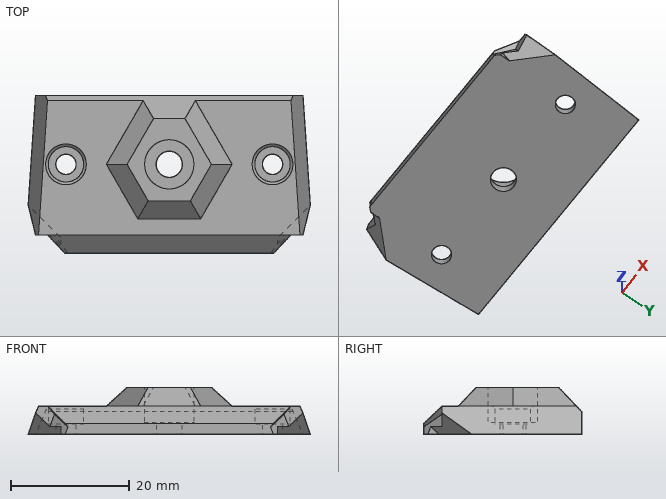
import cadquery as cq
import math

plate_height = 4.8
total_height = 8.0
back_y = 11.7
plate_front_y = -12.0
lip_front_y = -15.1
lip_edge_height = 1.85

overall_width = 47.85
widest_y = -6.9
wall_spread = 0.067
wall_lean = 0.44

boss_base_apothem = 9.23
boss_back_base_y = 10.8
boss_inset = 3.04

undercut_offset = overall_width / 2 - widest_y
undercut_rise = 0.95
undercut_inner_x = 18.35
lip_end_offset = 32.75
lip_end_lean = 0.38
lip_top_half_width = 20.6
lip_front_half_width = 17.65
lip_trim_lean = 0.83

main_hole_diameter = 4.4
main_bore_diameter = 8.35
main_bore_depth = 6.0
screw_x = 17.5
screw_hole_diameter = 3.4
screw_bore_diameter = 6.0
screw_bore_depth = 3.0
screw_rim_diameter = 6.9
screw_rim_depth = (screw_rim_diameter - screw_bore_diameter) / 2

tool_size = 200.0


def half_space(point, normal):
    """Everything on the side of the plane that the normal points to."""
    plane = cq.Plane(origin=point, normal=normal)
    return cq.Workplane(plane).rect(tool_size, tool_size).extrude(tool_size)


def with_mirror(body):
    """The body together with its mirror image about X = 0."""
    return body, body.mirror("YZ")


def cut_both_sides(body, tool):
    for side_tool in with_mirror(tool):
        body = body.cut(side_tool)
    return body


def extrude_profile(points):
    """Prism along X, over the full width, of an outline in Y and Z."""
    return cq.Workplane("YZ").polyline(points).close().extrude(overall_width, both=True)


def make_plate():
    boss_slope = (total_height - plate_height) / boss_inset
    back_edge_height = plate_height - (back_y - boss_back_base_y) * boss_slope
    plate = extrude_profile([
        (plate_front_y, 0),
        (back_y, 0),
        (back_y, back_edge_height),
        (boss_back_base_y, plate_height),
        (plate_front_y, plate_height),
    ])
    wall = half_space((-overall_width / 2, widest_y, 0), (-1, wall_spread, wall_lean))
    return cut_both_sides(plate, wall)


def make_lip():
    lip = extrude_profile([
        (plate_front_y, 0),
        (plate_front_y, plate_height),
        (lip_front_y, lip_edge_height),
        (lip_front_y, 0),
    ])
    lip_end = half_space((-lip_end_offset, 0, 0), (-1, -1, lip_end_lean))
    narrowing = lip_top_half_width - lip_front_half_width
    drop = plate_height - lip_edge_height
    length = plate_front_y - lip_front_y
    trim_shift = (narrowing - lip_trim_lean * drop) / length
    trim = half_space(
        (-lip_top_half_width, plate_front_y, plate_height),
        (-1, -trim_shift, -lip_trim_lean),
    )
    return cut_both_sides(lip, lip_end.intersect(trim))


def make_corner_undercut():
    below = half_space((-undercut_offset, 0, 0), (-1, -1, -1 / undercut_rise))
    outside = half_space((-undercut_inner_x, 0, 0), (-1, 0, 0))
    return below.intersect(outside)


def boss_outline(apothem, rear_y):
    corner_x = 2 * apothem / math.sqrt(3)
    front_x = corner_x - apothem / math.sqrt(3)
    rear_x = corner_x - rear_y / math.sqrt(3)
    return [
        (-corner_x, 0),
        (-front_x, -apothem),
        (front_x, -apothem),
        (corner_x, 0),
        (rear_x, rear_y),
        (-rear_x, rear_y),
    ]


def make_boss():
    base = boss_outline(boss_base_apothem, boss_back_base_y)
    top = boss_outline(boss_base_apothem - boss_inset, boss_back_base_y - boss_inset)
    return (
        cq.Workplane("XY").workplane(offset=plate_height)
        .polyline(base).close()
        .workplane(offset=total_height - plate_height)
        .polyline(top).close()
        .loft(ruled=True, combine=True)
    )


def make_stepped_hole(x, top, hole_diameter, bore_diameter, bore_depth):
    hole = cq.Workplane("XY").center(x, 0).circle(hole_diameter / 2).extrude(top)
    bore = (
        cq.Workplane("XY").workplane(offset=top - bore_depth)
        .center(x, 0).circle(bore_diameter / 2).extrude(bore_depth)
    )
    return hole.union(bore)


def make_screw_hole(x):
    hole = make_stepped_hole(
        x, plate_height, screw_hole_diameter, screw_bore_diameter, screw_bore_depth
    )
    rim = cq.Solid.makeCone(
        screw_bore_diameter / 2, screw_rim_diameter / 2, screw_rim_depth,
        pnt=cq.Vector(x, 0, plate_height - screw_rim_depth),
    )
    return hole.union(cq.Workplane(obj=rim))


body = make_plate().union(make_lip())
body = cut_both_sides(body, make_corner_undercut())
body = body.union(make_boss())
body = body.cut(make_stepped_hole(
    0, total_height, main_hole_diameter, main_bore_diameter, main_bore_depth
))
for hole_x in (-screw_x, screw_x):
    body = body.cut(make_screw_hole(hole_x))

result = body